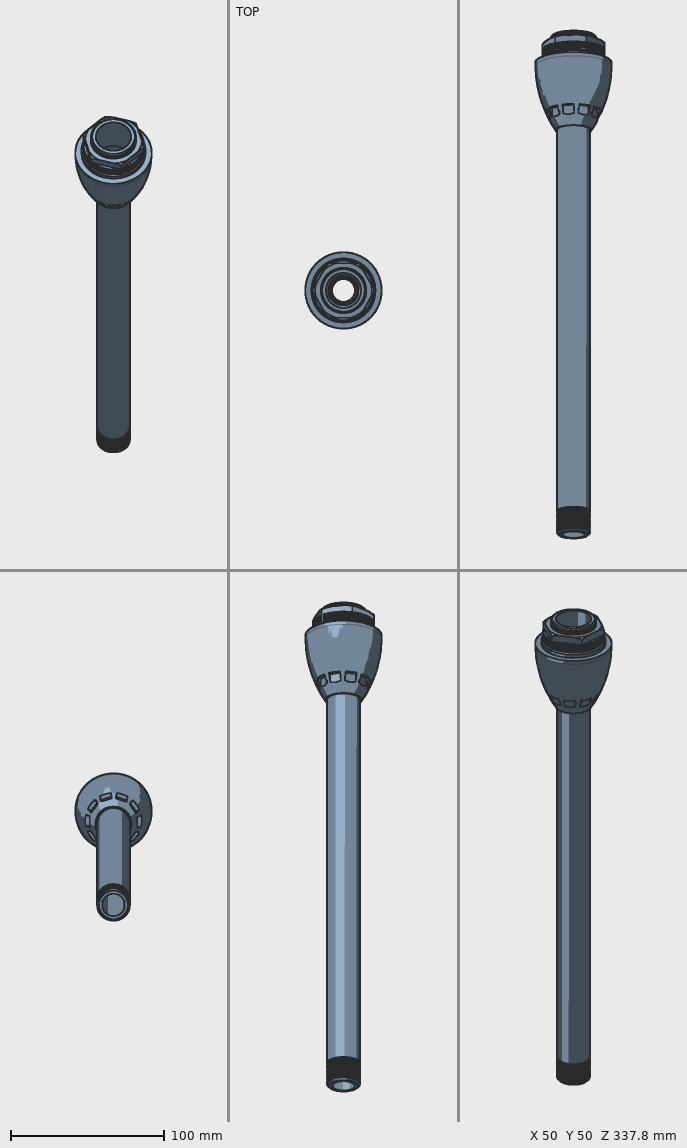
import cadquery as cq
import math

TOTAL_HEIGHT = 337.8
BELL_BOTTOM = 274.3
BELL_HEIGHT = 45.5
RIM_THICKNESS = 2.5
WASHER_THICKNESS = 3.5
NUT_HEIGHT = 10.5
BELL_TOP = BELL_BOTTOM + BELL_HEIGHT
WASHER_TOP = BELL_TOP + WASHER_THICKNESS
NUT_TOP = WASHER_TOP + NUT_HEIGHT

PIPE_RADIUS = 10.8
PIPE_BORE_RADIUS = 7.5
PIPE_TOP = 307.5
PIPE_CHAMFER = 1.5
PIPE_THREAD_TURNS = 9

THREAD_PITCH = 1.62
THREAD_DEPTH = 0.5

BELL_RADIUS = 25.0
BELL_MIDDLE_RADIUS = 21.3
BELL_MIDDLE_HEIGHT = 20.3
BELL_FOOT_RADIUS = 11.8

RECESS_COUNT = 10
RECESS_WIDTH = 7.5
RECESS_BOTTOM = 279.5
RECESS_HEIGHT = 7.5
RECESS_FLOOR_RADIUS = 15.5

NIPPLE_RADIUS = 15.0
NIPPLE_BORE_RADIUS = 11.5
NIPPLE_BOTTOM = 297.3
NIPPLE_THREAD_TURNS = 2
NIPPLE_CHAMFER = 1.0
SEAT_RADIUS = 9.8
SEAT_HEIGHT = 4.0

WASHER_RADIUS = 21.0
WASHER_CHAMFER = 1.0
NUT_ACROSS_FLATS = 35.5
NUT_CHAMFER_WIDTH = 2.0
NUT_CHAMFER_HEIGHT = 1.0
COLLAR_RADIUS = 20.0
COLLAR_RISE = 1.5
RIB_COUNT = 4
RIB_THICKNESS = 1.0
RIB_DEPTH = 0.5


def cylinder(radius, bottom, top):
    """Solid cylinder on the Z axis."""
    return cq.Workplane("XY").workplane(offset=bottom).circle(radius).extrude(top - bottom)


def cone(bottom_radius, top_radius, bottom, top):
    """Solid cone frustum on the Z axis."""
    outline = [(0, bottom), (bottom_radius, bottom), (top_radius, top), (0, top)]
    return cq.Workplane("XZ").polyline(outline).close().revolve(360, (0, 0), (0, 1))


def groove_rings(radius, bottom, pitch, depth, turns):
    """Row of V-shaped rings that cut grooves into a cylinder of the given radius."""
    rings = cq.Workplane("XY")
    for turn in range(turns):
        low = bottom + turn * pitch
        groove = [(radius, low), (radius - depth, low + pitch / 2), (radius, low + pitch)]
        rings = rings.add(cq.Workplane("XZ").polyline(groove).close().revolve(360, (0, 0), (0, 1)))
    return rings


def cut_grooves(body, rings):
    """Cut each groove ring from the body."""
    for ring in rings.vals():
        body = body.cut(cq.Workplane(ring))
    return body


def make_pipe():
    """Long tube, threaded and chamfered at its lower end, with a flared upper mouth."""
    pipe = cylinder(PIPE_RADIUS, 0, PIPE_TOP)
    pipe = pipe.faces("<Z").chamfer(PIPE_CHAMFER)
    rings = groove_rings(PIPE_RADIUS, PIPE_CHAMFER, THREAD_PITCH, THREAD_DEPTH, PIPE_THREAD_TURNS)
    pipe = cut_grooves(pipe, rings)
    pipe = pipe.cut(cylinder(PIPE_BORE_RADIUS, 0, PIPE_TOP))
    mouth_radius = PIPE_BORE_RADIUS + PIPE_CHAMFER
    return pipe.cut(cone(PIPE_BORE_RADIUS, mouth_radius, PIPE_TOP - PIPE_CHAMFER, PIPE_TOP))


def make_bell():
    """Convex bell with a flat rim, bored for the pipe and the nipple."""
    rim_bottom = BELL_TOP - RIM_THICKNESS
    bell = (
        cq.Workplane("XZ")
        .moveTo(0, BELL_BOTTOM)
        .lineTo(BELL_FOOT_RADIUS, BELL_BOTTOM)
        .threePointArc(
            (BELL_MIDDLE_RADIUS, BELL_BOTTOM + BELL_MIDDLE_HEIGHT),
            (BELL_RADIUS, rim_bottom),
        )
        .lineTo(BELL_RADIUS, BELL_TOP)
        .lineTo(0, BELL_TOP)
        .close()
        .revolve(360, (0, 0), (0, 1))
    )
    for index in range(RECESS_COUNT):
        recess = (
            cq.Workplane("XY")
            .box(BELL_RADIUS, RECESS_WIDTH, RECESS_HEIGHT, centered=(False, True, False))
            .translate((RECESS_FLOOR_RADIUS, 0, RECESS_BOTTOM))
            .rotate((0, 0, 0), (0, 0, 1), 180 + index * 360 / RECESS_COUNT)
        )
        bell = bell.cut(recess)
    bell = bell.cut(cylinder(PIPE_RADIUS, BELL_BOTTOM, NIPPLE_BOTTOM))
    return bell.cut(cylinder(NIPPLE_RADIUS, NIPPLE_BOTTOM, BELL_TOP))


def make_nipple():
    """Sleeve over the pipe end with a wider bore above and a short thread on top."""
    nipple = cylinder(NIPPLE_RADIUS, NIPPLE_BOTTOM, TOTAL_HEIGHT).faces(">Z").chamfer(NIPPLE_CHAMFER)
    rings = groove_rings(NIPPLE_RADIUS, NUT_TOP, THREAD_PITCH, THREAD_DEPTH, NIPPLE_THREAD_TURNS)
    nipple = cut_grooves(nipple, rings)
    seat_top = PIPE_TOP + SEAT_HEIGHT
    nipple = nipple.cut(cylinder(PIPE_RADIUS, NIPPLE_BOTTOM, PIPE_TOP))
    nipple = nipple.cut(cone(SEAT_RADIUS, NIPPLE_BORE_RADIUS, PIPE_TOP, seat_top))
    return nipple.cut(cylinder(NIPPLE_BORE_RADIUS, seat_top, TOTAL_HEIGHT))


def make_washer():
    """Flat ring between the bell and the nut, chamfered on its upper edge."""
    washer = cylinder(WASHER_RADIUS, BELL_TOP, WASHER_TOP)
    washer = washer.faces(">Z").chamfer(WASHER_CHAMFER)
    return washer.cut(cylinder(NIPPLE_RADIUS, BELL_TOP, WASHER_TOP))


def make_nut():
    """Hexagonal nut with corners on the X axis and round ribs that stand out of its flats."""
    across_corners = NUT_ACROSS_FLATS / math.cos(math.pi / 6)
    nut = cq.Workplane("XY").workplane(offset=WASHER_TOP).polygon(6, across_corners).extrude(NUT_HEIGHT)
    envelope = cylinder(across_corners / 2, WASHER_TOP, NUT_TOP)
    envelope = envelope.faces(">Z").chamfer(NUT_CHAMFER_HEIGHT, NUT_CHAMFER_WIDTH)
    nut = nut.intersect(envelope)
    collar_bottom = WASHER_TOP + COLLAR_RISE
    collar = cylinder(COLLAR_RADIUS, collar_bottom, collar_bottom + RIB_COUNT * RIB_THICKNESS)
    collar = cut_grooves(
        collar, groove_rings(COLLAR_RADIUS, collar_bottom, RIB_THICKNESS, RIB_DEPTH, RIB_COUNT)
    )
    nut = nut.union(collar)
    return nut.cut(cylinder(NIPPLE_RADIUS, WASHER_TOP, NUT_TOP))


pipe = make_pipe()
bell = make_bell()
nipple = make_nipple()
washer = make_washer()
nut = make_nut()

result = cq.Compound.makeCompound([pipe.val(), bell.val(), nipple.val(), washer.val(), nut.val()])